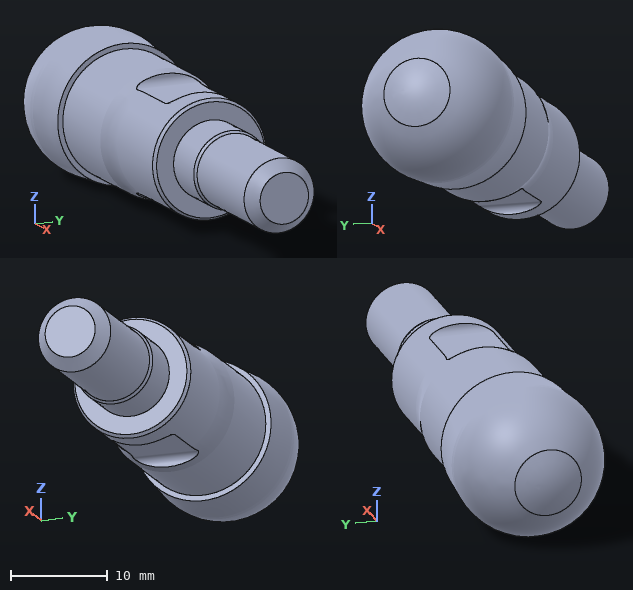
import cadquery as cq
import math

total_length = 53.0

nose_radius = 8.0
band_end_x = 8.65
head_end_x = 13.8
head_end_radius = 7.6

plug_radius = 3.6
plug_depth = 5.3

body_radius = 14.0 / 2
body_end_x = 23.0
neck_start_x = 26.0
neck_radius = 13.0 / 2
neck_end_x = 35.0
neck_chamfer = 0.3

pilot_radius = 8.5 / 2
pilot_end_x = 39.9
stud_radius = 8.0 / 2
stud_start_x = 40.25
stud_chamfer_length = 1.25
stud_end_radius = 2.75

flat_start_x = 24.0
flat_end_x = 31.95
flat_height = 5.5
flat_corner_radius = 0.8


def turned_blank():
    """Solid of revolution holding the complete outer contour."""
    dome_mid = nose_radius * math.sqrt(0.5)
    profile = (
        cq.Workplane("XY")
        .moveTo(0, 0)
        .threePointArc((nose_radius - dome_mid, dome_mid), (nose_radius, nose_radius))
        .lineTo(band_end_x, nose_radius)
        .lineTo(head_end_x, head_end_radius)
        .lineTo(head_end_x, body_radius)
        .lineTo(body_end_x, body_radius)
        .threePointArc(blend_midpoint(), (neck_start_x, neck_radius))
        .lineTo(neck_end_x - neck_chamfer, neck_radius)
        .lineTo(neck_end_x, neck_radius - neck_chamfer)
        .lineTo(neck_end_x, pilot_radius)
        .lineTo(pilot_end_x, pilot_radius)
        .lineTo(stud_start_x, stud_radius)
        .lineTo(total_length - stud_chamfer_length, stud_radius)
        .lineTo(total_length, stud_end_radius)
        .lineTo(total_length, 0)
        .close()
    )
    return profile.revolve(360, (0, 0, 0), (1, 0, 0))


def blend_midpoint():
    """Middle of the blend arc, which is tangent to the neck at its rear end."""
    length = neck_start_x - body_end_x
    drop = body_radius - neck_radius
    arc_radius = (length ** 2 + drop ** 2) / (2 * drop)
    half_angle = math.asin(length / arc_radius) / 2
    x = neck_start_x - arc_radius * math.sin(half_angle)
    radius = neck_radius + arc_radius * (1 - math.cos(half_angle))
    return (x, radius)


def wrench_flat_cutter(side):
    """Block above (side = 1) or below (side = -1) a flat, rounded along its Y edges."""
    block_height = 2 * neck_radius
    block_width = 3 * neck_radius
    return (
        cq.Workplane("XY")
        .box(flat_end_x - flat_start_x, block_width, block_height)
        .edges("|Y")
        .fillet(flat_corner_radius)
        .translate(((flat_start_x + flat_end_x) / 2, 0, side * (flat_height + block_height / 2)))
    )


def plug_space():
    """Cylinder from the tip plane that separates the plug from the pin."""
    return cq.Workplane("YZ").circle(plug_radius).extrude(plug_depth)


def make_pin():
    pin = turned_blank().cut(plug_space())
    for side in (1, -1):
        pin = pin.cut(wrench_flat_cutter(side))
    return pin


def make_plug():
    """Round plug whose outer face continues the dome."""
    return turned_blank().intersect(plug_space())


pin = make_pin()
plug = make_plug()

result = cq.Compound.makeCompound([pin.val(), plug.val()])